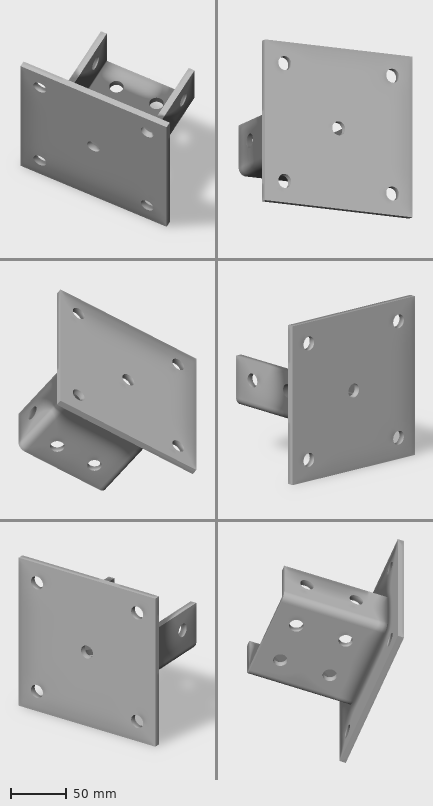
import cadquery as cq

plate_side = 150.0
thickness = 6.0
plate_hole_spacing = 110.0
hole_diameter = 13.0

channel_length = 100.0
channel_width = 96.0
channel_top = 20.0
channel_height = 47.0
bend_outer_radius = 7.0
bend_inner_radius = bend_outer_radius - thickness
channel_bottom = channel_top - channel_height
channel_end = thickness + channel_length

rear_hole_inset = 22.0
hole_pitch = 48.0
floor_hole_spacing = 41.1
wall_hole_height = 1.0
hole_rows = [channel_end - rear_hole_inset - i * hole_pitch for i in range(2)]


def cylinder(start, direction, length):
    """Hole cutter from a start point along a direction."""
    return cq.Workplane(
        cq.Solid.makeCylinder(hole_diameter / 2, length, cq.Vector(*start), cq.Vector(*direction))
    )


def make_plate():
    plate = cq.Workplane("XY").box(plate_side, thickness, plate_side, centered=(True, False, True))
    offset = plate_hole_spacing / 2
    corners = [(x, z) for x in (-offset, offset) for z in (-offset, offset)]
    for x, z in corners + [(0, 0)]:
        plate = plate.cut(cylinder((x, 0, z), (0, 1, 0), thickness))
    return plate


def rounded_block(width, bottom, radius):
    """Block along the channel with its two lower edges rounded."""
    block = cq.Workplane("XY").box(
        width, channel_length, channel_top - bottom, centered=(True, False, False)
    )
    return block.translate((0, thickness, bottom)).edges("|Y and <Z").fillet(radius)


def make_channel():
    outer = rounded_block(channel_width, channel_bottom, bend_outer_radius)
    inner = rounded_block(
        channel_width - 2 * thickness, channel_bottom + thickness, bend_inner_radius
    )
    channel = outer.cut(inner)
    for y in hole_rows:
        wall_start = (-channel_width / 2, y, wall_hole_height)
        channel = channel.cut(cylinder(wall_start, (1, 0, 0), channel_width))
        for x in (-floor_hole_spacing / 2, floor_hole_spacing / 2):
            channel = channel.cut(cylinder((x, y, channel_bottom), (0, 0, 1), thickness))
    return channel


result = make_plate().union(make_channel())